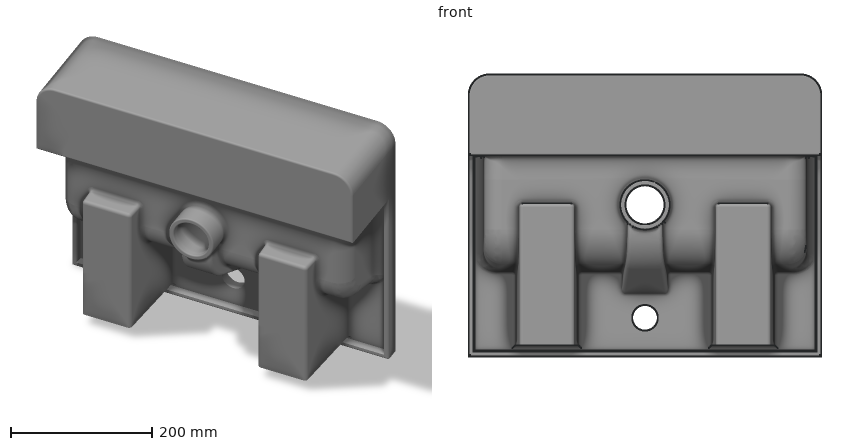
import cadquery as cq
import math

WIDTH = 500.0
HEIGHT = 400.0
HEAD_DEPTH = 140.0
HEAD_BOTTOM = 285.0
CORNER_RADIUS = 30.0
EDGE_ROUND = 3.0

SLAB_DEPTH = 25.0
FLOOR_DEPTH = 15.0
LIP_WIDTH = 7.0
LIP_DRAFT = 10.0

BOWL_DEPTH = 110.0
BOWL_TOP_DEPTH = 107.0
BOWL_TILT_START = 251.0
BELLY_START = 180.0
BELLY_RADIUS = 50.0
BELLY_SLOPE = 12.0
BOWL_HALF_WIDTH = 227.0
FLARE_HALF_WIDTH = 229.0
FLARE_DEPTH = 34.0
FLARE_REACH = 11.0
BOWL_ROUND = 25.0
BOWL_JOIN_RADIUS = 4.0

BRACKET_OFFSET = 139.0
BRACKET_WIDTH = 90.0
BRACKET_BOTTOM = 16.0
BRACKET_TOP = 217.0
BRACKET_DRAFT = 3.0
BRACKET_ROUND = 5.0
BRACKET_JOIN_RADIUS = 5.0

CHANNEL_DEPTH = 135.0
CHANNEL_RADIUS = 60.0
CHANNEL_SLOPE = 23.5
CHANNEL_HALF_WIDTH = 24.0
CHANNEL_BASE_HALF_WIDTH = 33.0
CHANNEL_ROUND = 5.0
CHANNEL_JOIN_RADIUS = 4.0

PIPE_HEIGHT = 215.0
PIPE_DIAMETER = 70.0
PIPE_BORE = 55.0
PIPE_END_DEPTH = 150.0
PIPE_END_ROUND = 2.0
PIPE_BASE_ROUND = 5.0
HOLE_HEIGHT = 55.0
HOLE_DIAMETER = 36.0

OVERLAP = 8.0

TOLERANCE = 0.5
CONTACT_GAP = 0.01


def pick_edges(solid, accept):
    """Workplane holding the edges of a solid whose centre satisfies accept(x, y, z)."""
    chosen = [edge for edge in solid.edges().vals() if accept(*edge.Center().toTuple())]
    return solid.newObject(chosen)


def lies_on(edge, shell):
    """True when the start, middle and end of an edge all touch a shell."""
    points = [edge.positionAt(fraction) for fraction in (0, 0.5, 1)]
    return all(cq.Vertex.makeVertex(*p.toTuple()).distance(shell) < CONTACT_GAP for p in points)


def join(base, added, radius, accept=lambda x, y, z: True):
    """Unite two solids and fillet the accepted edges where their surfaces meet."""
    shells = [base.val().Shells()[0], added.val().Shells()[0]]
    united = base.union(added)
    seams = [edge for edge in pick_edges(united, accept).vals() if all(lies_on(edge, s) for s in shells)]
    return united.newObject(seams).fillet(radius)


def front_box(width, bottom, top, depth):
    """Box centred on X that grows from the rim face toward -Y."""
    return (
        cq.Workplane("XZ", origin=(0, 0, (bottom + top) / 2))
        .rect(width, top - bottom)
        .extrude(depth)
    )


def front_cylinder(height, diameter, depth):
    """Cylinder along Y that grows from the rim face toward -Y."""
    return cq.Workplane("XZ", origin=(0, 0, height)).circle(diameter / 2).extrude(depth)


def make_body():
    """Slab and deep head with rounded corners, and the recessed floor cut inside the lip."""
    body = front_box(WIDTH, 0, HEIGHT, SLAB_DEPTH)
    body = body.union(front_box(WIDTH, HEAD_BOTTOM, HEIGHT, HEAD_DEPTH))
    body = body.edges("|Y and >Z").fillet(CORNER_RADIUS)
    body = body.faces("<Y or >Y").edges().fillet(EDGE_ROUND)
    lip_edges = pick_edges(body, lambda x, y, z: abs(y + SLAB_DEPTH) < TOLERANCE and z < HEAD_BOTTOM - 1)
    body = lip_edges.fillet(EDGE_ROUND)
    recess = (
        cq.Workplane("XZ", origin=(0, -SLAB_DEPTH, (LIP_WIDTH + HEAD_BOTTOM) / 2))
        .rect(WIDTH - 2 * LIP_WIDTH, HEAD_BOTTOM - LIP_WIDTH)
        .extrude(FLOOR_DEPTH - SLAB_DEPTH, taper=LIP_DRAFT)
    )
    return body.cut(recess)


def belly_profile(depth, radius, slope, top):
    """Open side profile from the floor: sloping underside, belly arc, then upright face to top."""
    root = OVERLAP - FLOOR_DEPTH
    sweep = math.radians(90 - slope)

    def on_arc(angle):
        return -depth + radius * (1 - math.cos(angle)), BELLY_START - radius * math.sin(angle)

    end_y, end_z = on_arc(sweep)
    foot = end_z - (root - end_y) * math.tan(math.radians(slope))
    return (
        cq.Workplane("YZ")
        .moveTo(root, foot)
        .lineTo(end_y, end_z)
        .threePointArc(on_arc(sweep / 2), (-depth, BELLY_START))
        .lineTo(-depth, top)
    )


def make_bowl():
    """Bowl shell: a side profile met by a drafted plan that flares out at the floor."""
    root = OVERLAP - FLOOR_DEPTH
    top = HEAD_BOTTOM + OVERLAP
    side = (
        belly_profile(BOWL_DEPTH, BELLY_RADIUS, BELLY_SLOPE, BOWL_TILT_START)
        .tangentArcPoint((-BOWL_TOP_DEPTH, top), relative=False)
        .lineTo(root, top)
        .close()
        .extrude(WIDTH / 2, both=True)
    )
    flare_end = FLARE_HALF_WIDTH + FLARE_REACH
    half_plan = (
        cq.Workplane("XY")
        .moveTo(0, -BOWL_DEPTH)
        .lineTo(-BOWL_HALF_WIDTH, -BOWL_DEPTH)
        .lineTo(-FLARE_HALF_WIDTH, -FLARE_DEPTH)
        .tangentArcPoint((-flare_end, -FLOOR_DEPTH), relative=False)
        .lineTo(-flare_end, root)
        .lineTo(0, root)
        .close()
        .extrude(HEIGHT)
    )
    plan = half_plan.union(half_plan.mirror("YZ"))
    bowl = side.intersect(plan).clean()

    def on_outer_rim(x, y, z):
        beside = abs(x) > BOWL_HALF_WIDTH - OVERLAP
        below_wall = abs(y + FLARE_DEPTH) > TOLERANCE or z < BELLY_START
        return beside and below_wall and y < -FLOOR_DEPTH - TOLERANCE and z < top - TOLERANCE

    return pick_edges(bowl, on_outer_rim).fillet(BOWL_ROUND)


def make_channel():
    """Channel with a convex belly that slopes down to a foot on the floor."""
    root = OVERLAP - FLOOR_DEPTH
    top = PIPE_HEIGHT
    side = (
        belly_profile(CHANNEL_DEPTH, CHANNEL_RADIUS, CHANNEL_SLOPE, top)
        .lineTo(root, top)
        .close()
        .extrude(WIDTH / 2, both=True)
    )
    plan = (
        cq.Workplane("XY")
        .polyline([
            (-CHANNEL_HALF_WIDTH, -CHANNEL_DEPTH),
            (CHANNEL_HALF_WIDTH, -CHANNEL_DEPTH),
            (CHANNEL_BASE_HALF_WIDTH, -FLOOR_DEPTH),
            (CHANNEL_BASE_HALF_WIDTH, root),
            (-CHANNEL_BASE_HALF_WIDTH, root),
            (-CHANNEL_BASE_HALF_WIDTH, -FLOOR_DEPTH),
        ])
        .close()
        .extrude(HEIGHT)
    )
    channel = side.intersect(plan).clean()

    def on_front(x, y, z):
        inside_root = y > -FLOOR_DEPTH - OVERLAP
        along_side = CHANNEL_HALF_WIDTH - OVERLAP < abs(x) < CHANNEL_BASE_HALF_WIDTH - TOLERANCE
        return along_side and not inside_root and z < PIPE_HEIGHT - TOLERANCE

    return pick_edges(channel, on_front).fillet(CHANNEL_ROUND)


def make_bracket(offset):
    """Upright block with drafted sides and rounded top and outer edges."""
    reach = HEAD_DEPTH - FLOOR_DEPTH
    base_half = BRACKET_WIDTH / 2
    tip_half = base_half - reach * math.tan(math.radians(BRACKET_DRAFT))
    root = OVERLAP - FLOOR_DEPTH
    bracket = (
        cq.Workplane("XY", origin=(offset, 0, BRACKET_BOTTOM))
        .polyline([
            (-base_half, root),
            (-base_half, -FLOOR_DEPTH),
            (-tip_half, -HEAD_DEPTH),
            (tip_half, -HEAD_DEPTH),
            (base_half, -FLOOR_DEPTH),
            (base_half, root),
        ])
        .close()
        .extrude(BRACKET_TOP - BRACKET_BOTTOM)
    )

    def rounded(x, y, z):
        on_tip = abs(y + HEAD_DEPTH) < TOLERANCE and z > BRACKET_BOTTOM + TOLERANCE
        on_top = z > BRACKET_TOP - TOLERANCE and abs(x - offset) > TOLERANCE
        return on_tip or on_top

    return pick_edges(bracket, rounded).fillet(BRACKET_ROUND)


def on_bowl_foot(x, y, z):
    """True on the bowl's lower outline on the floor, corners included."""
    return abs(x) < FLARE_HALF_WIDTH + FLARE_REACH - TOLERANCE and z < BELLY_START


def on_bowl_top(x, y, z):
    """True where the bowl meets the underside of the head."""
    at_underside = abs(z - HEAD_BOTTOM) < TOLERANCE
    under_head = -BOWL_DEPTH < y < -SLAB_DEPTH - TOLERANCE
    return at_underside and under_head and abs(x) < FLARE_HALF_WIDTH + FLARE_REACH


def make_basin():
    """All solids joined in order, then the drain bore and the lower hole cut through."""
    basin = make_body()
    basin = join(basin, make_bowl(), BOWL_JOIN_RADIUS, on_bowl_foot)
    basin = pick_edges(basin, on_bowl_top).fillet(BOWL_JOIN_RADIUS)
    for side in (-1, 1):
        basin = join(basin, make_bracket(side * BRACKET_OFFSET), BRACKET_JOIN_RADIUS)
    basin = join(basin, make_channel(), CHANNEL_JOIN_RADIUS, lambda x, y, z: z < PIPE_HEIGHT - TOLERANCE)
    pipe = front_cylinder(PIPE_HEIGHT, PIPE_DIAMETER, PIPE_END_DEPTH)
    basin = join(basin, pipe, PIPE_BASE_ROUND, lambda x, y, z: y < -FLOOR_DEPTH)
    basin = basin.cut(front_cylinder(PIPE_HEIGHT, PIPE_BORE, PIPE_END_DEPTH))
    basin = basin.cut(front_cylinder(HOLE_HEIGHT, HOLE_DIAMETER, PIPE_END_DEPTH))
    return basin.faces("<Y").edges().fillet(PIPE_END_ROUND)


result = make_basin()